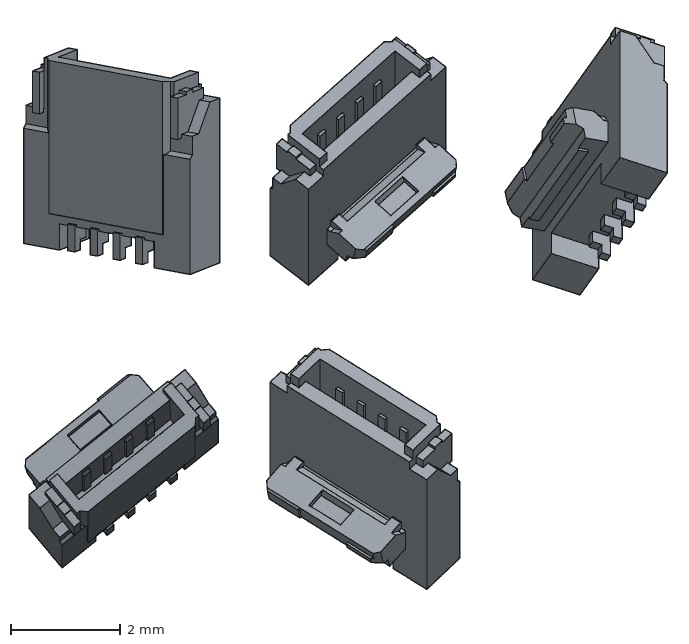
import cadquery as cq
import math


body_half_width = 1.845
body_front_y = -0.963
arm_top_z = 3.13
arm_low_z = 2.61
arm_slope_rear_y = -0.32
arm_slope_front_y = -0.69
step_y = -0.893
step_bottom_z = 2.19
step_top_z = step_bottom_z + (step_y - body_front_y)
foot_gap_half_width = 1.05
foot_gap_height = 0.5

shroud_half_width = 1.44
shroud_top_z = 3.58
shroud_rear_y = -0.1
rear_wall_top_z = 3.33
panel_half_width = 1.26
panel_front_y = -1.0
panel_bottom_z = 0.67
panel_chamfer = step_y - panel_front_y
mouth_half_width = 1.245
mouth_rear_y = -0.297
mouth_front_y = -0.713
mouth_floor_z = 1.58
mouth_rear_taper = 0.016

tab_thickness = 0.16
tab_inner_x = 1.45
tab_rear_y = -0.18
tab_front_y = -1.02
tab_bottom_z = 2.54
nub_rear_y = -0.53
nub_front_y = -0.74
nub_height = 0.057

contact_count = 4
contact_pitch = 0.5
contact_width = 0.16
lead_front_y = -1.02
lead_rear_y = -0.84
lead_bottom_z = 0.04
lead_top_z = 0.545
tail_bottom_z = 0.24
contact_top_z = 3.1
rear_contact_y = -0.355
rear_contact_lead_in = 0.15
front_contact_y = -0.655

latch_tilt = math.radians(10)
latch_root_z = 1.49
latch_half_width = 1.345
latch_length = 0.837
latch_depth = 0.685
latch_neck_u = 0.587
latch_neck_v = 0.472
latch_tip_v = 0.325
latch_corner_x = 0.1
latch_corner_u = 0.11
latch_bevel_depth = 0.028
latch_bevel_drop = 0.018
lip_inner_u = 0.39
lip_height = 0.052
lip_half_width = 1.04

pad_length = 0.046
pad_top_drop = 0.025
pad_tip_v = 0.294
left_pad_x = (-latch_half_width, -0.63)
left_pad_top_v = 0.17
right_pad_x = (0.48, latch_half_width)

pocket_half_width = 0.372
pocket_inner_u = 0.295
pocket_floor_inner_u = 0.357
pocket_outer_u = 0.695
pocket_depth = 0.11

shoulder_x = 1.25
shoulder_outer_y = 0.289
shoulder_inner_y = 0.086
shoulder_floor_z = 1.295

groove_half_width = 1.04
groove_profile = [(0.225, 1.45), (0.07, 1.375), (0.042, 1.357), (0, 1.37)]

clearance = 0.5


def box(x0, x1, y0, y1, z0, z1):
    """Axis-aligned box between two opposite corners."""
    return cq.Workplane("XY").box(x1 - x0, y1 - y0, z1 - z0, centered=False).translate((x0, y0, z0))


def mirrored_box(half_width, y0, y1, z0, z1):
    """Box centred on X = 0."""
    return box(-half_width, half_width, y0, y1, z0, z1)


def prism_x(points, x0, x1):
    """Extrude a (y, z) outline along X from x0 to x1."""
    return cq.Workplane("YZ").polyline(points).close().extrude(x1 - x0).translate((x0, 0, 0))


def both_sides(solid):
    """The solid joined with its mirror image across X = 0."""
    return solid.union(solid.mirror("YZ"))


def latch_point(u, v):
    """Convert latch coordinates to (y, z)."""
    y = u * math.cos(latch_tilt) - v * math.sin(latch_tilt)
    z = latch_root_z - u * math.sin(latch_tilt) - v * math.cos(latch_tilt)
    return (y, z)


def latch_prism(points, x0, x1):
    """Extrude a (u, v) outline along X."""
    return prism_x([latch_point(u, v) for u, v in points], x0, x1)


def make_housing():
    side_outline = [
        (0, 0),
        (0, arm_top_z),
        (arm_slope_rear_y, arm_top_z),
        (arm_slope_front_y, arm_low_z),
        (step_y, arm_low_z),
        (step_y, step_top_z),
        (body_front_y, step_bottom_z),
        (body_front_y, 0),
    ]
    housing = prism_x(side_outline, -body_half_width, body_half_width)

    housing = housing.union(
        mirrored_box(shroud_half_width, step_y, 0, arm_low_z, rear_wall_top_z))
    housing = housing.union(
        mirrored_box(shroud_half_width, step_y, shroud_rear_y, arm_low_z, shroud_top_z))

    housing = housing.union(
        mirrored_box(panel_half_width, panel_front_y, step_y, panel_bottom_z, shroud_top_z))
    flare = (
        cq.Workplane("XY")
        .workplane(offset=step_bottom_z)
        .polyline([
            (-panel_half_width - panel_chamfer, step_y),
            (-panel_half_width, panel_front_y),
            (panel_half_width, panel_front_y),
            (panel_half_width + panel_chamfer, step_y),
        ])
        .close()
        .extrude(shroud_top_z - step_bottom_z)
    )
    housing = housing.union(flare)

    return housing.cut(mirrored_box(
        foot_gap_half_width, body_front_y - clearance, clearance, -clearance, foot_gap_height))


def cut_mouth(housing):
    mouth_outline = [
        (mouth_front_y, mouth_floor_z),
        (mouth_rear_y - mouth_rear_taper, mouth_floor_z),
        (mouth_rear_y, rear_wall_top_z),
        (mouth_rear_y, shroud_top_z + clearance),
        (mouth_front_y, shroud_top_z + clearance),
    ]
    housing = housing.cut(prism_x(mouth_outline, -mouth_half_width, mouth_half_width))
    return housing.cut(mirrored_box(
        mouth_half_width, mouth_front_y, clearance, rear_wall_top_z, shroud_top_z + clearance))


def make_tabs():
    tab_outer_x = tab_inner_x + tab_thickness
    tab = box(tab_inner_x, tab_outer_x, tab_front_y, tab_rear_y, tab_bottom_z, rear_wall_top_z)
    nub = box(tab_inner_x, tab_outer_x, nub_front_y, nub_rear_y,
              rear_wall_top_z, rear_wall_top_z + nub_height)
    return both_sides(tab.union(nub))


def make_contact(x):
    x0 = x - contact_width / 2
    x1 = x + contact_width / 2
    lead = box(x0, x1, lead_front_y, lead_rear_y, lead_bottom_z, lead_top_z)
    tail = box(x0, x1, lead_rear_y, front_contact_y, tail_bottom_z, lead_top_z)
    front_blade = box(x0, x1, mouth_front_y, front_contact_y, mouth_floor_z, contact_top_z)
    rear_blade = prism_x([
        (mouth_rear_y, mouth_floor_z),
        (mouth_rear_y, contact_top_z),
        (rear_contact_y, contact_top_z - rear_contact_lead_in),
        (rear_contact_y, mouth_floor_z),
    ], x0, x1)
    return lead.union(tail).union(front_blade).union(rear_blade)


def make_latch_arm():
    """Tilted latch slab with its corners cut, trimmed at the housing rear face."""
    inside_u = -clearance / 2
    side_outline = [
        (inside_u, 0),
        (latch_length + pad_length, 0),
        (latch_length + pad_length, pad_tip_v),
        (latch_length, latch_tip_v),
        (latch_neck_u, latch_neck_v),
        (latch_neck_u, latch_depth),
        (inside_u, latch_depth),
    ]
    latch = latch_prism(side_outline, -latch_half_width, latch_half_width)

    tip_u = latch_length + clearance
    pad_end_u = latch_length + pad_length
    latch = latch.cut(latch_prism([
        (latch_length, -clearance),
        (tip_u, -clearance),
        (tip_u, latch_depth),
        (latch_length, latch_depth),
    ], left_pad_x[1], right_pad_x[0]))
    latch = latch.cut(latch_prism([
        (latch_length, -clearance),
        (tip_u, -clearance),
        (tip_u, left_pad_top_v),
        (latch_length, left_pad_top_v),
    ], left_pad_x[0], left_pad_x[1]))
    latch = latch.cut(latch_prism([
        (latch_length, 0),
        (pad_end_u, pad_top_drop),
        (pad_end_u, -clearance),
        (latch_length, -clearance),
    ], right_pad_x[0], right_pad_x[1]))

    slope = latch_corner_x / latch_corner_u
    corner_plane = cq.Plane(
        origin=(0, 0, latch_root_z),
        xDir=(1, 0, 0),
        normal=(0, math.sin(latch_tilt), math.cos(latch_tilt)),
    )
    corner = (
        cq.Workplane(corner_plane)
        .polyline([
            (latch_half_width, latch_length - latch_corner_u),
            (latch_half_width - latch_corner_x - slope * clearance, latch_length + clearance),
            (latch_half_width, latch_length + clearance),
        ])
        .close()
        .extrude(latch_depth + clearance, both=True)
    )
    latch = latch.cut(both_sides(corner))

    lip = latch_prism([
        (lip_inner_u, latch_depth),
        (latch_neck_u, latch_depth),
        (latch_neck_u, latch_depth + lip_height),
        (lip_inner_u, latch_depth + lip_height),
    ], -lip_half_width, lip_half_width)
    latch = latch.union(lip)
    return latch.cut(mirrored_box(latch_half_width, -clearance, 0, 0, shroud_top_z))


def cut_latch_recesses(latch):
    pocket = latch_prism([
        (pocket_inner_u, 0),
        (pocket_floor_inner_u, pocket_depth),
        (pocket_outer_u, pocket_depth),
        (pocket_outer_u, 0),
    ], -pocket_half_width, pocket_half_width)
    latch = latch.cut(pocket)

    shoulder_top_z = latch_root_z - shoulder_outer_y * math.tan(latch_tilt)
    notch = prism_x([
        (0, shoulder_floor_z),
        (shoulder_inner_y, shoulder_floor_z),
        (shoulder_outer_y, shoulder_top_z),
        (shoulder_outer_y, latch_root_z),
        (0, latch_root_z),
    ], shoulder_x, latch_half_width)
    latch = latch.cut(both_sides(notch))

    groove_outer_y = groove_profile[0][0]
    groove_outline = groove_profile + [(0, latch_root_z), (groove_outer_y, latch_root_z)]
    latch = latch.cut(prism_x(groove_outline, -groove_half_width, groove_half_width))
    bevel = prism_x([
        (0, latch_root_z - latch_bevel_drop),
        (latch_bevel_depth, latch_root_z - latch_bevel_depth * math.tan(latch_tilt)),
        (latch_bevel_depth, latch_root_z),
        (0, latch_root_z),
    ], -shoulder_x, shoulder_x)
    return latch.cut(bevel)


result = cut_mouth(make_housing())
result = result.union(make_tabs())
for index in range(contact_count):
    contact_x = (index - (contact_count - 1) / 2) * contact_pitch
    result = result.union(make_contact(contact_x))
result = result.union(cut_latch_recesses(make_latch_arm()))